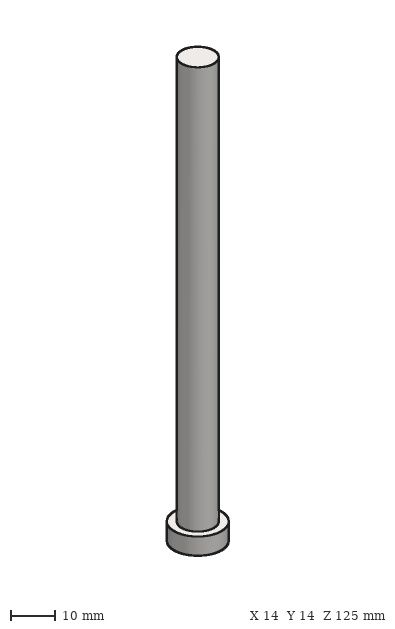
import cadquery as cq

total_length = 125.0
head_diameter = 14.0
head_height = 5.0
shank_diameter = 9.5

head = cq.Workplane("XY").circle(head_diameter / 2).extrude(head_height)
shank = cq.Workplane("XY").circle(shank_diameter / 2).extrude(total_length)

result = head.union(shank)